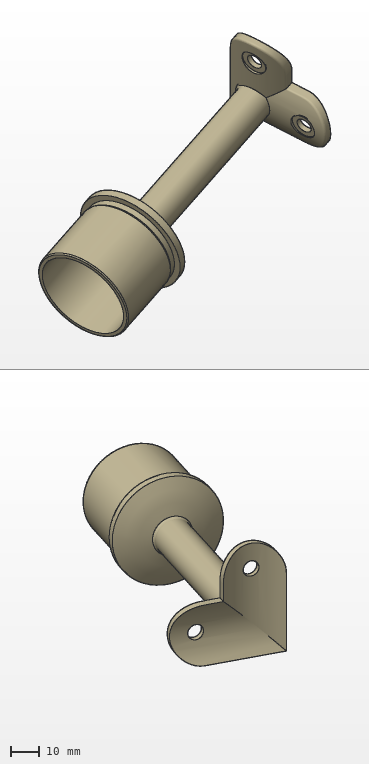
import cadquery as cq
import math

total_length = 114.4

plug_radius = 19.1
plug_length = 26.9
mouth_chamfer = 0.5
groove_radius = 18.8
groove_chamfer = 0.7
collar_radius = 21.2
collar_bottom = 30.0
collar_top = 33.0
dome_top = 37.4
dome_top_radius = 7.7
dome_bulge = 0.6
bore_radius = 17.3
bore_depth = collar_bottom
bore_floor_fillet = 2.0

post_radius = 7.1
post_foot_height = 1.8
post_head_flare = 1.0
post_head_embed = 1.3

rail_radius = 21.2
saddle_thickness = 3.0
arm_half_width = 12.0
arm_reach = 31.0
saddle_edge_fillet = 0.9

hole_radius = 3.0
counterbore_radius = 5.0
counterbore_depth = 0.9
hole_distance = 21.0

match_tolerance = 0.01

saddle_radius = rail_radius + saddle_thickness
rail_axis_y = total_length + math.sqrt(rail_radius**2 - arm_half_width**2)
saddle_back_y = rail_axis_y - saddle_radius
saddle_front_y = rail_axis_y - rail_radius


def make_arm():
    """Arm along +Z with a round tip; its lower end is cut along the x = z mitre."""
    tip_center_z = arm_reach - arm_half_width
    shell_length = 2 * arm_reach
    shell = (
        cq.Workplane("XY", origin=(0, rail_axis_y, -arm_reach))
        .circle(saddle_radius)
        .circle(rail_radius)
        .extrude(shell_length)
    )
    outline = (
        cq.Workplane("XZ", origin=(0, total_length, 0))
        .moveTo(-arm_half_width, -arm_half_width)
        .lineTo(arm_half_width, arm_half_width)
        .lineTo(arm_half_width, tip_center_z)
        .threePointArc((0, arm_reach), (-arm_half_width, tip_center_z))
        .close()
        .extrude(total_length - saddle_back_y + saddle_thickness)
    )
    return shell.intersect(outline)


def swap_x_and_z(shape):
    """Mirror a shape across the x = z mitre plane."""
    return shape.rotate((0, 0, 0), (0, 1, 0), 90).mirror("XY")


def make_saddle():
    arm = make_arm()
    saddle = arm.union(swap_x_and_z(arm))

    def is_back_outline(edge):
        """True for outline edges on the post side; the mitre line is left sharp."""
        middle = edge.positionAt(0.5)
        x, z = middle.x, middle.z
        on_mitre = abs(x - z) < match_tolerance
        across = x if z > x else z
        radius = math.hypot(across, middle.y - rail_axis_y)
        return not on_mitre and abs(radius - saddle_radius) < match_tolerance

    back_edges = [edge for edge in saddle.edges().vals() if is_back_outline(edge)]
    return saddle.newObject(back_edges).fillet(saddle_edge_fillet)


def make_turned_body():
    """Plug, collar, dome and post as one profile revolved about the Y axis."""
    dome_middle_radius = (collar_radius + dome_top_radius) / 2
    dome_middle_y = (collar_top + dome_top) / 2 + dome_bulge
    foot_top = dome_top + post_foot_height
    foot_middle = (post_radius + (dome_top_radius - post_radius) / 4, dome_top + post_foot_height / 3)

    head_radius = post_radius + post_head_flare
    head_end_y = saddle_front_y - post_head_embed
    flare_middle = (
        head_radius - post_head_flare * math.cos(math.pi / 4),
        saddle_back_y + post_head_flare * math.sin(math.pi / 4),
    )
    return (
        cq.Workplane("XY")
        .lineTo(plug_radius - mouth_chamfer, 0)
        .lineTo(plug_radius, mouth_chamfer)
        .lineTo(plug_radius, plug_length)
        .lineTo(groove_radius, plug_length + groove_chamfer)
        .lineTo(groove_radius, collar_bottom)
        .lineTo(collar_radius, collar_bottom)
        .lineTo(collar_radius, collar_top)
        .threePointArc((dome_middle_radius, dome_middle_y), (dome_top_radius, dome_top))
        .threePointArc(foot_middle, (post_radius, foot_top))
        .lineTo(post_radius, saddle_back_y)
        .threePointArc(flare_middle, (head_radius, saddle_back_y + post_head_flare))
        .lineTo(head_radius, head_end_y)
        .lineTo(0, head_end_y)
        .close()
        .revolve(360, (0, 0, 0), (0, 1, 0))
    )


def make_bore():
    bore = cq.Workplane("XZ").circle(bore_radius).extrude(-bore_depth)
    return bore.faces(">Y").edges().fillet(bore_floor_fillet)


def make_screw_hole(x, z):
    """Through hole with a flat counterbore sunk from the post side."""
    back = cq.Workplane("XZ", origin=(x, saddle_back_y, z))
    hole = back.circle(hole_radius).extrude(-(total_length - saddle_back_y))
    counterbore = back.circle(counterbore_radius).extrude(-counterbore_depth)
    return hole.union(counterbore)


result = make_saddle().union(make_turned_body()).cut(make_bore())
for x, z in ((0, hole_distance), (hole_distance, 0)):
    result = result.cut(make_screw_hole(x, z))